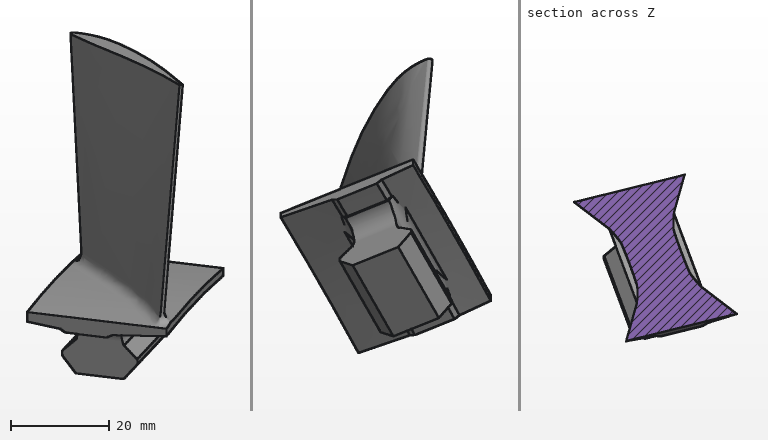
import cadquery as cq

stagger_angle = -42.0

platform_length = 36.6
platform_width = 30.0
platform_crown_z = 16.3
crown_radius = 247.5
half_sweep_angle = 10.0
platform_mid_thickness = 2.8
platform_slope = 0.1

root_offset = -2.3
rib_half_width = 4.5
rib_top_half_width = 5.6
rib_crown_z = 12.85

root_length = 19.1
root_base_half = 5.15
lobe_half = 8.0
lobe_bulge = 0.15
lobe_low_z = 3.5
lobe_high_z = 4.7
neck_upper_half = 5.2
neck_half = 4.75
neck_bulge = 0.1
neck_low_z = 7.35
neck_high_z = 9.5
side_flare_radius = 2.15
side_flare_z = 11.3
end_flare_radius = 3.95
end_flare_z = 8.2
root_top_z = side_flare_z + side_flare_radius
QUARTER_ARC = 0.5 ** 0.5

blade_base_z = 14.7
tip_z = 66.9
blade_fillet = 2.35
fillet_top_z = 19.4
foot_low_z = 15.4
foot_high_z = 17.4

base_suction = [(20.75, -0.6), (9.75, 1.55), (-3.7, 2.5), (-12.7, 0.95), (-16.45, -1.3)]
base_nose = (-16.65, -2.2)
base_pressure = [(-15.85, -2.55), (-2.7, -1.55), (6.7, -1.0), (13.4, -1.0), (20.75, -1.4)]
tip_suction = [(20.15, 4.1), (7.3, 3.9), (-3.7, 2.3), (-12.7, -1.15), (-16.2, -4.2)]
tip_nose = (-16.2, -5.1)
tip_pressure = [(-15.45, -5.35), (-7.7, -3.3), (-0.2, -0.95), (9.75, 1.7), (19.9, 3.4)]


def rotated(shape):
    return shape.rotate((0, 0, 0), (0, 0, 1), stagger_angle)


def footprint(z_low, z_high):
    height = z_high - z_low
    box = cq.Workplane("XY").box(platform_length, platform_width, height)
    return box.translate((0, 0, (z_low + z_high) / 2))


def revolve_crown(section):
    """Revolve a width-height section about the crown axis, which runs along Y."""
    axis_z = platform_crown_z - crown_radius
    solid = section.revolve(2 * half_sweep_angle, (0, axis_z), (1, axis_z))
    return solid.rotate((0, 0, axis_z), (0, 1, axis_z), -half_sweep_angle)


def trim_to_platform(solid):
    """Trim the crowned ring segment to the platform length."""
    return solid.intersect(footprint(0, tip_z))


def make_platform():
    half = platform_width / 2
    ridge_z = platform_crown_z - platform_mid_thickness

    def underside_z(y):
        return ridge_z + platform_slope * (abs(y - root_offset) - rib_top_half_width)

    section = cq.Workplane("YZ").polyline([
        (-half, platform_crown_z),
        (-half, underside_z(-half)),
        (root_offset - rib_top_half_width, ridge_z),
        (root_offset - rib_half_width, rib_crown_z),
        (root_offset + rib_half_width, rib_crown_z),
        (root_offset + rib_top_half_width, ridge_z),
        (half, underside_z(half)),
        (half, platform_crown_z),
    ]).close()
    return trim_to_platform(revolve_crown(section))


def make_root():
    flare_top_half = neck_half + side_flare_radius
    side_mid = side_flare_radius * (1 - QUARTER_ARC)
    side_mid_z = side_flare_z + side_flare_radius * QUARTER_ARC
    neck_mid = (neck_half + neck_bulge, (neck_low_z + neck_high_z) / 2)
    lobe_tip = (lobe_half + lobe_bulge, (lobe_low_z + lobe_high_z) / 2)
    cross = (
        cq.Workplane("YZ")
        .moveTo(0, 0)
        .lineTo(root_base_half, 0)
        .lineTo(lobe_half, lobe_low_z)
        .threePointArc(lobe_tip, (lobe_half, lobe_high_z))
        .lineTo(neck_upper_half, neck_low_z)
        .threePointArc(neck_mid, (neck_half, neck_high_z))
        .lineTo(neck_half, side_flare_z)
        .threePointArc((neck_half + side_mid, side_mid_z), (flare_top_half, root_top_z))
        .lineTo(0, root_top_z)
        .close()
        .extrude(platform_length / 2, both=True)
    )
    cross = cross.union(cross.mirror("XZ")).translate((0, root_offset, 0))

    half = root_length / 2
    end_mid = half + end_flare_radius * (1 - QUARTER_ARC)
    end_mid_z = end_flare_z + end_flare_radius * QUARTER_ARC
    end_top = half + end_flare_radius
    end_top_z = end_flare_z + end_flare_radius
    side = (
        cq.Workplane("XZ")
        .moveTo(-half, 0)
        .lineTo(half, 0)
        .lineTo(half, end_flare_z)
        .threePointArc((end_mid, end_mid_z), (end_top, end_top_z))
        .lineTo(end_top, root_top_z)
        .lineTo(-end_top, root_top_z)
        .lineTo(-end_top, end_top_z)
        .threePointArc((-end_mid, end_mid_z), (-half, end_flare_z))
        .close()
        .extrude(platform_width, both=True)
    )
    return cross.intersect(side)


def section_wire(suction, nose, pressure, z):
    def at_height(points):
        return [cq.Vector(x, y, z) for x, y in points]

    suction_points = at_height(suction)
    pressure_points = at_height(pressure)
    nose_point = cq.Vector(nose[0], nose[1], z)
    return cq.Wire.assembleEdges([
        cq.Edge.makeSpline(suction_points),
        cq.Edge.makeThreePointArc(suction_points[-1], nose_point, pressure_points[0]),
        cq.Edge.makeSpline(pressure_points),
        cq.Edge.makeLine(pressure_points[-1], suction_points[0]),
    ])


def make_blade():
    """Airfoil with its base fillet, on an oversized crowned slab trimmed to the platform."""
    base = section_wire(base_suction, base_nose, base_pressure, blade_base_z)
    tip = section_wire(tip_suction, tip_nose, tip_pressure, tip_z)
    airfoil = cq.Workplane(cq.Solid.makeLoft([base, tip], True))

    slab_section = cq.Workplane("YZ").rect(2 * platform_width, 2 * platform_crown_z)
    slab = rotated(revolve_crown(slab_section))
    blade = slab.union(airfoil)
    foot_zone = cq.selectors.BoxSelector(
        (-platform_width, -platform_width, foot_low_z),
        (platform_width, platform_width, foot_high_z),
    )
    foot_edges = blade.edges(foot_zone)
    blade = blade.newObject(foot_edges.vals()).fillet(blade_fillet)

    keep = rotated(footprint(blade_base_z, fillet_top_z))
    span = 3 * platform_length
    above = cq.Workplane("XY").box(span, span, tip_z).translate((0, 0, fillet_top_z + tip_z / 2))
    return blade.intersect(keep.union(above))


result = rotated(make_platform().union(make_root())).union(make_blade())